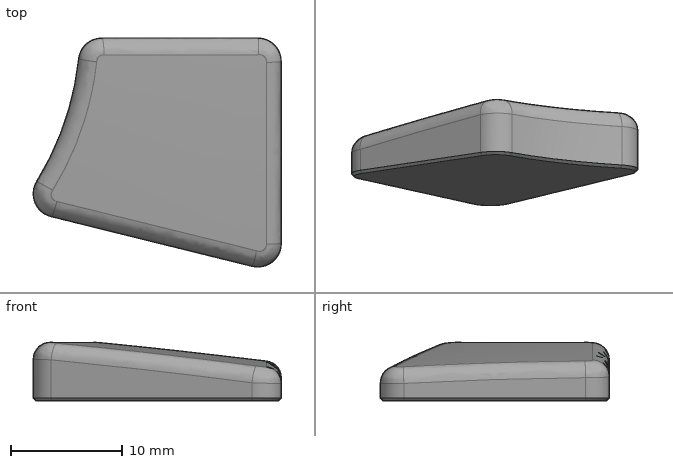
import cadquery as cq
import math

width = 22.26
depth = 20.55
height = 5.26

corner_radius = 4.25 / 2
front_edge_angle = math.radians(13.9)
back_left_corner_x = -16.08
hollow_radius = 26.0

crest_slope = math.radians(5.6)
top_arc_radius = 600.0
top_fillet = 1.5
chamfer_size = 0.25


def along(point, direction, distance):
    """Return the point reached by moving from a point in a direction (radians)."""
    return (
        point[0] + distance * math.cos(direction),
        point[1] + distance * math.sin(direction),
    )


def direction_to(start, end):
    return math.atan2(end[1] - start[1], end[0] - start[0])


back_right = (-corner_radius, -corner_radius)
front_right = (-corner_radius, -depth + corner_radius)
front_left_x = -width + corner_radius
front_edge_rise = (front_right[0] - front_left_x) * math.tan(front_edge_angle)
front_left = (front_left_x, front_right[1] + front_edge_rise)
back_left = (back_left_corner_x, -corner_radius)

half_span = math.dist(front_left, back_left) / 2
axis_offset = math.sqrt((hollow_radius + corner_radius) ** 2 - half_span**2)
span_direction = direction_to(front_left, back_left)
span_middle = along(front_left, span_direction, half_span)
hollow_axis = along(span_middle, span_direction + math.pi / 2, axis_offset)


def make_blank():
    """Extrude the rounded outline, taller than the finished part."""
    right = 0.0
    back = math.pi / 2
    front = -math.pi / 2 - front_edge_angle
    to_front_left = direction_to(hollow_axis, front_left)
    to_back_left = direction_to(hollow_axis, back_left)
    to_hollow_middle = (to_front_left + to_back_left) / 2
    from_front_left = to_front_left + math.pi
    from_back_left = to_back_left + math.pi

    def corner_points(corner, start, end):
        middle = along(corner, (start + end) / 2, corner_radius)
        return middle, along(corner, end, corner_radius)

    outline = (
        cq.Workplane("XY")
        .moveTo(*along(back_right, back, corner_radius))
        .threePointArc(*corner_points(back_right, back, right))
        .lineTo(*along(front_right, right, corner_radius))
        .threePointArc(*corner_points(front_right, right, front))
        .lineTo(*along(front_left, front, corner_radius))
        .threePointArc(*corner_points(front_left, front, from_front_left - 2 * math.pi))
        .threePointArc(
            along(hollow_axis, to_hollow_middle, hollow_radius),
            along(hollow_axis, to_back_left, hollow_radius),
        )
        .threePointArc(*corner_points(back_left, from_back_left, back))
        .close()
    )
    return outline.extrude(2 * height)


def make_dome():
    """Solid under the top face, which falls away from the axis of the hollow.

    The slope is a shallow arc, placed so that the fillet along the crest of
    the hollow reaches the full height.
    """
    arc_to_fillet = top_arc_radius - top_fillet
    arc_center_radius = hollow_radius + top_fillet - arc_to_fillet * math.sin(crest_slope)
    arc_center_level = height - top_fillet - arc_to_fillet * math.cos(crest_slope)

    def top_point(radius):
        offset = radius - arc_center_radius
        return radius, arc_center_level + math.sqrt(top_arc_radius**2 - offset**2)

    inner_radius = hollow_radius - top_fillet
    rim_radius = math.dist(hollow_axis, front_right) + 2 * corner_radius
    middle_radius = (inner_radius + rim_radius) / 2
    profile = (
        cq.Workplane("XZ")
        .moveTo(inner_radius, 0)
        .lineTo(rim_radius, 0)
        .lineTo(*top_point(rim_radius))
        .threePointArc(top_point(middle_radius), top_point(inner_radius))
        .close()
    )
    dome = profile.revolve(360, (0, 0, 0), (0, 1, 0))
    return dome.translate((hollow_axis[0], hollow_axis[1], 0))


body = make_blank().intersect(make_dome())
body = body.faces(">Z").edges().fillet(top_fillet)
result = body.faces("<Z").chamfer(chamfer_size)